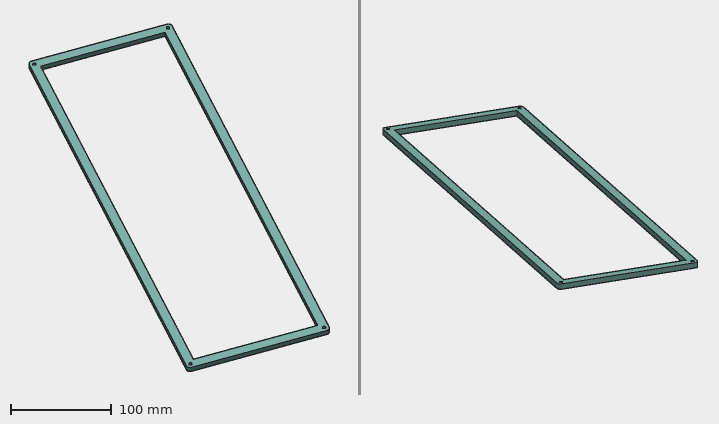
import cadquery as cq

length = 449.0
width = 151.5
thickness = 6.0
rail_width = 10.0
corner_radius = 4.0

hole_diameter = 3.2
hole_inset = rail_width / 2


def frame_body():
    """Flat rectangular frame with rounded outer corners and a sharp-cornered opening."""
    plate = cq.Workplane("XY").box(length, width, thickness).edges("|Z").fillet(corner_radius)
    opening = cq.Workplane("XY").box(length - 2 * rail_width, width - 2 * rail_width, thickness)
    return plate.cut(opening)


def drill_corner_holes(body):
    """Drill a through hole centred on the rails at every corner."""
    return (
        body.faces(">Z")
        .workplane(origin=(0, 0, 0))
        .rect(length - 2 * hole_inset, width - 2 * hole_inset, forConstruction=True)
        .vertices()
        .hole(hole_diameter)
    )


result = drill_corner_holes(frame_body())